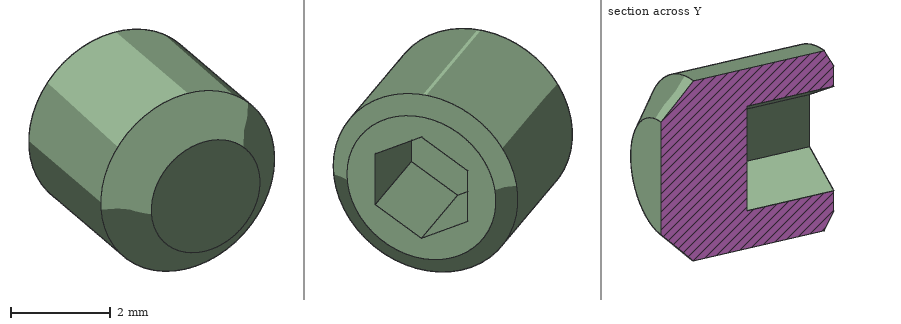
import cadquery as cq
import math

length = 4
diameter = 4
socket_face_diameter = 3.225
socket_chamfer_angle = 30
point_diameter = 2.5
hex_across_flats = 2
socket_depth = 2

radius = diameter / 2
socket_face_radius = socket_face_diameter / 2
point_radius = point_diameter / 2
socket_chamfer_length = (radius - socket_face_radius) * math.tan(math.radians(socket_chamfer_angle))
point_chamfer_length = radius - point_radius
socket_end = -length / 2
point_end = length / 2


def make_body():
    """Revolve the half outline about the X axis."""
    return (
        cq.Workplane("XY")
        .moveTo(socket_end, 0)
        .lineTo(socket_end, socket_face_radius)
        .lineTo(socket_end + socket_chamfer_length, radius)
        .lineTo(point_end - point_chamfer_length, radius)
        .lineTo(point_end, point_radius)
        .lineTo(point_end, 0)
        .close()
        .revolve(360, (0, 0, 0), (1, 0, 0))
    )


def make_hex_socket():
    """Blind hexagon with corners at +Z and -Z, sunk from the socket end."""
    across_corners = hex_across_flats / math.cos(math.radians(30))
    return (
        cq.Workplane("YZ", origin=(socket_end, 0, 0))
        .transformed(rotate=(0, 0, 90))
        .polygon(6, across_corners)
        .extrude(socket_depth)
    )


result = make_body().cut(make_hex_socket())